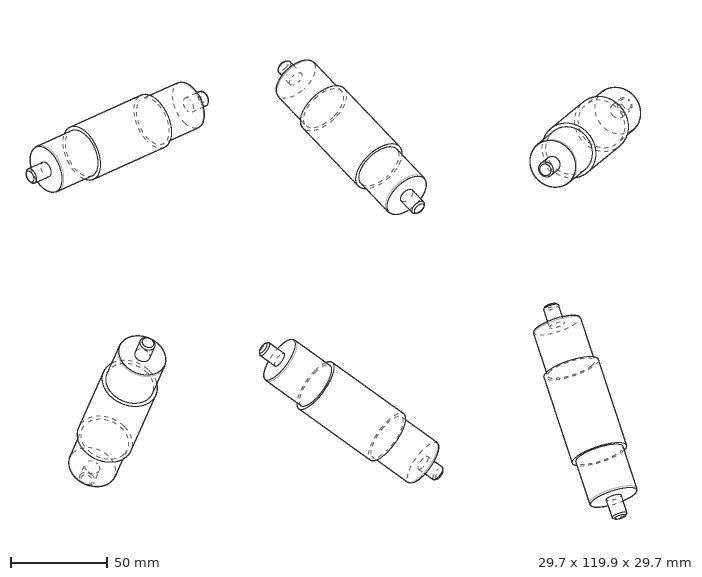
import cadquery as cq

total_length = 119.9
body_length = 97.8
sleeve_length = 48.8

sleeve_diameter = 29.7
body_diameter = 25.8
shaft_diameter = 8.2

body_edge_length = 1.0
body_edge_depth = 0.2
shaft_chamfer = 1.0


def centred_cylinder(diameter, length):
    """Cylinder along Y, centred on the origin."""
    return cq.Workplane("XZ", origin=(0, length / 2, 0)).circle(diameter / 2).extrude(length)


def tapered_body():
    """Roller body with a shallow taper at each end."""
    radius = body_diameter / 2
    end_radius = radius - body_edge_depth
    end = body_length / 2
    taper_start = end - body_edge_length
    profile = (
        cq.Workplane("XY")
        .moveTo(0, -end)
        .lineTo(end_radius, -end)
        .lineTo(radius, -taper_start)
        .lineTo(radius, taper_start)
        .lineTo(end_radius, end)
        .lineTo(0, end)
        .close()
    )
    return profile.revolve(360, (0, 0, 0), (0, 1, 0))


shaft = centred_cylinder(shaft_diameter, total_length).edges().chamfer(shaft_chamfer)
sleeve = centred_cylinder(sleeve_diameter, sleeve_length)

result = shaft.union(tapered_body()).union(sleeve)